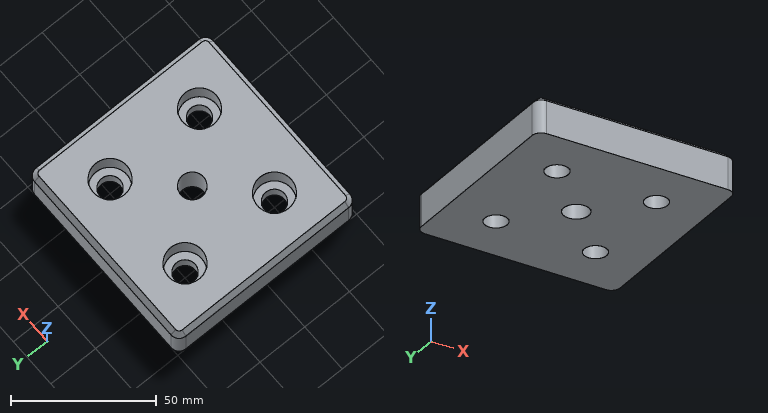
import cadquery as cq

side = 80.0
thickness = 15.0
corner_radius = 3.6
top_chamfer = 2.0

bolt_spacing = side / 2
bolt_diameter = 9.0
counterbore_diameter = 15.0
counterbore_depth = 9.0
center_diameter = 10.1


def make_plate():
    """Plate standing on Z = 0, with rounded corners and a chamfered top rim."""
    plate = cq.Workplane("XY").box(side, side, thickness, centered=(True, True, False))
    plate = plate.edges("|Z").fillet(corner_radius)
    return plate.faces(">Z").chamfer(top_chamfer)


def add_bolt_holes(plate):
    """Four counterbored through holes in a square pattern."""
    return (
        plate.faces(">Z").workplane(origin=(0, 0, thickness))
        .rect(bolt_spacing, bolt_spacing, forConstruction=True)
        .vertices()
        .cboreHole(bolt_diameter, counterbore_diameter, counterbore_depth)
    )


def add_center_hole(plate):
    """Plain through hole in the middle of the plate."""
    return plate.faces(">Z").workplane(origin=(0, 0, thickness)).hole(center_diameter)


result = add_center_hole(add_bolt_holes(make_plate()))